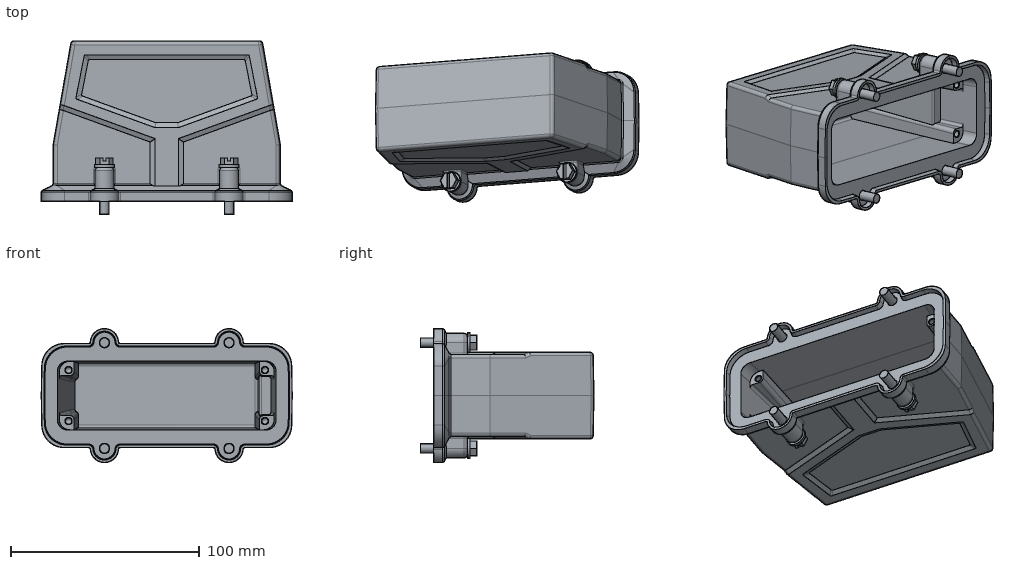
import cadquery as cq
import math

HOOD_LENGTH = 85.0
DRAFT_ANGLE = 1.0

BODY_HALF_WIDTH = 60.2
BODY_BACK_HALF_WIDTH = 50.6
BODY_TAPER_START = 30.0
BODY_HALF_HEIGHT = 23.0
BODY_START = 5.0
BODY_EDGE_RADIUS = 1.9
EDGE_MARGIN = 0.1

PANEL_DEPTH = 1.25
PANEL_SLOPE_WIDTH = 2.6
RIB_HALF_WIDTH = 6.2
RIB_ANGLE = 20.0
RIB_FORK = 33.2
LABEL_POINT = 39.0
LABEL_TOP = 77.6
LABEL_TOP_HALF_WIDTH = 43.6
LABEL_SIDE_HALF_WIDTH = 48.2
LABEL_CORNER_RADIUS = 2.0
PANEL_OVERRUN = 10.0

FLANGE_HALF_WIDTH = 66.5
FLANGE_HALF_HEIGHT = 27.6
FLANGE_CORNER_RADIUS = 12.0
FLANGE_THICKNESS = 4.8
BEVEL_TOP = 5.7
BEVEL_INSET = 0.5
FOOT_START = 8.3
FOOT_WIDTH = 0.7
SHOULDER_TOP = 9.2
RIM_WIDTH = 1.4
RIM_CORNER_RADIUS = 12.0
RIM_DEPTH = 3.0
RIM_DRAFT = 10.0

SCREW_X = 33.0
SCREW_Z = 28.0
EAR_RADIUS = 7.5
EAR_NECK_RADIUS = 1.0
EAR_CONE_TOP = 6.8
BOSS_DIAMETER = 10.0
BOSS_TOP = 18.0
BOSS_EDGE_RADIUS = 1.8
WEB_FOOT_RADIUS = 0.9
WEB_EMBED = 1.5
CLEARANCE_DIAMETER = 5.4
SHANK_DIAMETER = 5.0
SHANK_END = -6.9
WASHER_DIAMETER = 10.6
WASHER_TOP = 19.4
HEAD_ACROSS_FLATS = 8.0
HEAD_TOP = 22.9
HEAD_SLOT_WIDTH = 1.5
HEAD_SLOT_DEPTH = 1.5

CAVITY_HALF_WIDTH = 58.3
CAVITY_HALF_HEIGHT = 18.3
CAVITY_FLOOR = 82.0
CAVITY_FLOOR_HALF_WIDTH = 48.6
CAVITY_FLOOR_HALF_HEIGHT = 16.9
CAVITY_BEND = 32.0
CAVITY_BEND_HALF_HEIGHT = 17.8
CAVITY_CORNER_RADIUS = 5.5
CAVITY_FLOOR_RADIUS = 1.4

POST_START = 11.6
POST_INNER_X = 49.1
POST_INNER_Z = 10.6
POST_DRAFT = 1.9
POST_EDGE_RADIUS = 2.2
POST_ROOT_RADIUS = 1.5
POST_OVERHANG = 4.0
POST_HOLE_X = 52.0
POST_HOLE_Z = 13.5
POST_HOLE_DIAMETER = 3.3
POST_HOLE_CHAMFER = 0.3
POST_HOLE_DEPTH = 12.0
DRILL_TIP_ANGLE = 118.0
STEP_START = 26.0
STEP_INNER_X = 49.2
STEP_DRAFT = 1.0
STEP_EDGE_RADIUS = 1.0

CORNER_SIGNS = [(sx, sz) for sx in (-1, 1) for sz in (-1, 1)]


def plane_at(y):
    """Work plane facing +Y; its local axes are +X and -Z."""
    return cq.Workplane(cq.Plane(origin=(0, y, 0), xDir=(1, 0, 0), normal=(0, 1, 0)))


def cylinder(diameter, y_start, y_end, x, z):
    return plane_at(y_start).center(x, -z).circle(diameter / 2).extrude(y_end - y_start)


def crowned_outline(y, half_width, half_height, radius):
    """Rounded rectangle whose short ends are crowned by the mould draft."""
    crown = math.tan(math.radians(DRAFT_ANGLE)) * (half_height - radius)
    side = half_width - crown
    straight_x = side - radius
    straight_z = half_height - radius
    diagonal = radius * math.sqrt(0.5)
    mid_x = straight_x + diagonal
    mid_z = straight_z + diagonal
    return (
        plane_at(y)
        .moveTo(half_width, 0)
        .lineTo(side, straight_z)
        .threePointArc((mid_x, mid_z), (straight_x, half_height))
        .lineTo(-straight_x, half_height)
        .threePointArc((-mid_x, mid_z), (-side, straight_z))
        .lineTo(-half_width, 0)
        .lineTo(-side, -straight_z)
        .threePointArc((-mid_x, -mid_z), (-straight_x, -half_height))
        .lineTo(straight_x, -half_height)
        .threePointArc((mid_x, -mid_z), (side, -straight_z))
        .close()
    )


def body_half():
    """Upper half of the body block, drafted away from the parting plane."""
    block = (
        cq.Workplane("XY")
        .moveTo(-BODY_HALF_WIDTH, BODY_START)
        .lineTo(BODY_HALF_WIDTH, BODY_START)
        .lineTo(BODY_HALF_WIDTH, BODY_TAPER_START)
        .lineTo(BODY_BACK_HALF_WIDTH, HOOD_LENGTH)
        .lineTo(-BODY_BACK_HALF_WIDTH, HOOD_LENGTH)
        .lineTo(-BODY_HALF_WIDTH, BODY_TAPER_START)
        .close()
        .extrude(BODY_HALF_HEIGHT, taper=DRAFT_ANGLE)
    )
    back_corners = cq.selectors.BoxSelector(
        (-BODY_HALF_WIDTH, HOOD_LENGTH - 2, 1),
        (BODY_HALF_WIDTH, HOOD_LENGTH + 1, BODY_HALF_HEIGHT - 1),
    )
    return block.edges(back_corners).fillet(BODY_EDGE_RADIUS)


def sink(points):
    """Tapered cutter that narrows from the broad face down to the sunken floor."""
    slope_angle = math.degrees(math.atan2(PANEL_SLOPE_WIDTH, PANEL_DEPTH))
    outline = cq.Workplane("XY").workplane(offset=BODY_HALF_HEIGHT).polyline(points).close()
    return outline.extrude(-PANEL_DEPTH, taper=slope_angle)


def label_field():
    arm_rise = math.tan(math.radians(RIB_ANGLE)) * (LABEL_SIDE_HALF_WIDTH - RIB_HALF_WIDTH)
    shoulder = LABEL_POINT + arm_rise
    upper_points = [
        (LABEL_SIDE_HALF_WIDTH, shoulder),
        (LABEL_TOP_HALF_WIDTH, LABEL_TOP),
        (-LABEL_TOP_HALF_WIDTH, LABEL_TOP),
        (-LABEL_SIDE_HALF_WIDTH, shoulder),
    ]
    field = sink([(-RIB_HALF_WIDTH, LABEL_POINT), (RIB_HALF_WIDTH, LABEL_POINT)] + upper_points)
    for x, y in upper_points:
        corner = cq.selectors.NearestToPointSelector((x, y, BODY_HALF_HEIGHT - PANEL_DEPTH / 2))
        field = field.edges(corner).fillet(LABEL_CORNER_RADIUS)
    return field


def lower_panel():
    """Sunken area right of the rib stem; it runs out past the body end."""
    outer_x = BODY_HALF_WIDTH + PANEL_OVERRUN
    arm_rise = math.tan(math.radians(RIB_ANGLE)) * (outer_x - RIB_HALF_WIDTH)
    return sink([
        (RIB_HALF_WIDTH, 0),
        (outer_x, 0),
        (outer_x, RIB_FORK + arm_rise),
        (RIB_HALF_WIDTH, RIB_FORK),
    ])


def round_rim(half):
    """Round the outer edge of the broad face along both ends and the back."""
    low_z = BODY_HALF_HEIGHT - PANEL_DEPTH - EDGE_MARGIN
    high_z = BODY_HALF_HEIGHT + EDGE_MARGIN
    low_y = BODY_START + 1
    end_x = BODY_BACK_HALF_WIDTH - BODY_EDGE_RADIUS
    rim = half.edges(
        cq.selectors.BoxSelector((end_x, low_y, low_z), (FLANGE_HALF_WIDTH, HOOD_LENGTH, high_z))
        + cq.selectors.BoxSelector((-end_x, low_y, low_z), (-FLANGE_HALF_WIDTH, HOOD_LENGTH, high_z))
        + cq.selectors.BoxSelector((-end_x, CAVITY_FLOOR, low_z), (end_x, HOOD_LENGTH, high_z))
    )
    return rim.fillet(BODY_EDGE_RADIUS)


def screw_boss(x, z):
    """Cylindrical screw boss with a web that joins it to the broad face."""
    height = BOSS_TOP - RIM_DEPTH
    web_bottom = CAVITY_HALF_HEIGHT + WEB_EMBED
    web_height = abs(z) - web_bottom
    web_center = math.copysign(web_bottom + web_height / 2, z)
    web = (
        plane_at(RIM_DEPTH)
        .center(x, -web_center)
        .rect(BOSS_DIAMETER, web_height)
        .extrude(height)
    )
    boss = cylinder(BOSS_DIAMETER, RIM_DEPTH, BOSS_TOP, x, z).union(web)
    inner_side = ">Z" if z < 0 else "<Z"
    top_edges = boss.faces(">Y").edges(f"not({inner_side})")
    return top_edges.fillet(BOSS_EDGE_RADIUS)


def round_web_foot(half, x):
    """Blend one boss web into the sunken panel around it."""
    panel_z = BODY_HALF_HEIGHT - PANEL_DEPTH
    reach = BOSS_DIAMETER / 2 + EDGE_MARGIN
    around = cq.selectors.BoxSelector(
        (x - reach, BODY_START, panel_z - EDGE_MARGIN),
        (x + reach, BOSS_TOP + EDGE_MARGIN, panel_z + EDGE_MARGIN),
    )
    return half.edges(around).fillet(WEB_FOOT_RADIUS)


def make_body():
    panel = lower_panel()
    half = body_half().cut(label_field()).cut(panel).cut(panel.mirror("YZ"))
    half = round_rim(half)
    for x in (-SCREW_X, SCREW_X):
        half = round_web_foot(half.union(screw_boss(x, SCREW_Z)), x)
    return half.union(half.mirror("XY"))


def flange_plate(inset, corner_radius, ear_radius, neck_radius):
    """Flange outline with its four ears, moved inward by inset."""
    half_height = FLANGE_HALF_HEIGHT - inset
    plate = crowned_outline(
        0, FLANGE_HALF_WIDTH - inset, half_height, corner_radius
    ).extrude(FLANGE_THICKNESS)
    for sx, sz in CORNER_SIGNS:
        plate = plate.union(
            cylinder(2 * ear_radius, 0, FLANGE_THICKNESS, sx * SCREW_X, sz * SCREW_Z)
        )
    for sx, sz in CORNER_SIGNS:
        for side in (-1, 1):
            neck = (sx * SCREW_X + side * ear_radius, FLANGE_THICKNESS / 2, sz * half_height)
            plate = plate.edges(cq.selectors.NearestToPointSelector(neck)).fillet(neck_radius)
    return plate


def make_shoulder():
    """Sloped skirt from the flange edge up to the body, with a narrow bevel at either end."""
    panel_half_height = BODY_HALF_HEIGHT - PANEL_DEPTH
    sections = [
        crowned_outline(
            FLANGE_THICKNESS, FLANGE_HALF_WIDTH, FLANGE_HALF_HEIGHT, FLANGE_CORNER_RADIUS
        ),
        crowned_outline(
            BEVEL_TOP,
            FLANGE_HALF_WIDTH - BEVEL_INSET,
            FLANGE_HALF_HEIGHT - BEVEL_INSET,
            FLANGE_CORNER_RADIUS - BEVEL_INSET,
        ),
        crowned_outline(
            FOOT_START,
            BODY_HALF_WIDTH + FOOT_WIDTH,
            panel_half_height + FOOT_WIDTH,
            BODY_EDGE_RADIUS + FOOT_WIDTH,
        ),
        crowned_outline(SHOULDER_TOP, BODY_HALF_WIDTH, panel_half_height, BODY_EDGE_RADIUS),
    ]
    wires = [section.wire().val() for section in sections]
    return cq.Workplane(cq.Solid.makeLoft(wires, True))


def ear_shoulder(x, z):
    """Bevel and cone that lead from an ear up to its screw boss."""
    profile = [
        (0, FLANGE_THICKNESS),
        (EAR_RADIUS, FLANGE_THICKNESS),
        (EAR_RADIUS - BEVEL_INSET, BEVEL_TOP),
        (BOSS_DIAMETER / 2, EAR_CONE_TOP),
        (0, EAR_CONE_TOP),
    ]
    cone = cq.Workplane("XY").polyline(profile).close().revolve(360, (0, 0), (0, 1))
    return cone.translate((x, 0, z))


def make_flange():
    flange = flange_plate(0, FLANGE_CORNER_RADIUS, EAR_RADIUS, EAR_NECK_RADIUS)
    flange = flange.union(make_shoulder())
    for sx, sz in CORNER_SIGNS:
        flange = flange.union(ear_shoulder(sx * SCREW_X, sz * SCREW_Z))
    return flange


def rim_recess():
    """Shallow drafted recess that leaves a rim around the mounting face."""
    outline = flange_plate(
        RIM_WIDTH, RIM_CORNER_RADIUS, EAR_RADIUS - RIM_WIDTH, EAR_NECK_RADIUS + RIM_WIDTH
    )
    front = plane_at(0).add(outline.faces("<Y").wires()).toPending()
    return front.extrude(RIM_DEPTH, taper=RIM_DRAFT)


def tapered_block(inner_x, inner_z, start, draft):
    """Block reaching from the cavity floor to Y = start, outward of inner_x and inner_z.

    The inner limits hold at the front end; the draft widens the block toward the floor.
    """
    length = CAVITY_FLOOR + POST_OVERHANG - start
    growth = math.tan(math.radians(draft)) * length
    x_range = (inner_x - growth, CAVITY_HALF_WIDTH + POST_OVERHANG + growth)
    z_range = (inner_z - growth, CAVITY_HALF_HEIGHT + POST_OVERHANG + growth)
    return (
        plane_at(start + length)
        .center(sum(x_range) / 2, -sum(z_range) / 2)
        .rect(x_range[1] - x_range[0], z_range[1] - z_range[0])
        .extrude(-length, taper=draft)
    )


def corner_post():
    """Post in the +X, +Z corner of the cavity."""
    post = tapered_block(POST_INNER_X, POST_INNER_Z, POST_START, POST_DRAFT)
    inner_edge = cq.selectors.NearestToPointSelector((0, CAVITY_FLOOR / 2, 0))
    return post.edges(inner_edge).fillet(POST_EDGE_RADIUS)


def end_wall_step():
    """Thicker +X end wall behind the mouth, close to the inner sides of the posts."""
    full_height = CAVITY_HALF_HEIGHT + POST_OVERHANG
    step = tapered_block(STEP_INNER_X, -full_height, STEP_START, STEP_DRAFT)
    return step.faces("<Y").edges("<X").fillet(STEP_EDGE_RADIUS)


def round_post_root(cavity, sx, sz, end):
    """Blend a post into the end wall; the root edge runs from the post front to Y = end."""
    y = (POST_START + end) / 2
    wall_lean = (CAVITY_HALF_WIDTH - CAVITY_FLOOR_HALF_WIDTH) / CAVITY_FLOOR
    x = CAVITY_HALF_WIDTH - wall_lean * y
    z = POST_INNER_Z - math.tan(math.radians(POST_DRAFT)) * (y - POST_START)
    root = cq.selectors.NearestToPointSelector((sx * x, y, sz * z))
    return cavity.edges(root).fillet(POST_ROOT_RADIUS)


def make_cavity():
    plan = (
        cq.Workplane("XY")
        .moveTo(-CAVITY_HALF_WIDTH, 0)
        .lineTo(CAVITY_HALF_WIDTH, 0)
        .lineTo(CAVITY_FLOOR_HALF_WIDTH, CAVITY_FLOOR)
        .lineTo(-CAVITY_FLOOR_HALF_WIDTH, CAVITY_FLOOR)
        .close()
        .extrude(BODY_HALF_HEIGHT, both=True)
    )
    section = (
        cq.Workplane("YZ")
        .moveTo(0, -CAVITY_HALF_HEIGHT)
        .lineTo(CAVITY_BEND, -CAVITY_BEND_HALF_HEIGHT)
        .lineTo(CAVITY_FLOOR, -CAVITY_FLOOR_HALF_HEIGHT)
        .lineTo(CAVITY_FLOOR, CAVITY_FLOOR_HALF_HEIGHT)
        .lineTo(CAVITY_BEND, CAVITY_BEND_HALF_HEIGHT)
        .lineTo(0, CAVITY_HALF_HEIGHT)
        .close()
        .extrude(CAVITY_HALF_WIDTH, both=True)
    )
    cavity = plan.intersect(section)
    mouth_zone = (
        plane_at(0)
        .rect(2 * FLANGE_HALF_WIDTH, 2 * FLANGE_HALF_HEIGHT)
        .extrude(POST_START)
    )
    mouth = cavity.intersect(mouth_zone).edges("not(#Y or |X or |Z)").fillet(CAVITY_CORNER_RADIUS)
    deep = cavity.cut(mouth_zone)
    deep = deep.faces(">Y").edges("|X").fillet(CAVITY_FLOOR_RADIUS)
    post = corner_post()
    upper_posts = post.union(post.mirror("YZ"))
    deep = deep.cut(upper_posts).cut(upper_posts.mirror("XY"))
    deep = deep.cut(end_wall_step())
    deep = deep.faces(">Y").edges(">X").fillet(CAVITY_FLOOR_RADIUS)
    for sz in (-1, 1):
        deep = round_post_root(deep, 1, sz, STEP_START)
        deep = round_post_root(deep, -1, sz, CAVITY_FLOOR)
    return deep.union(mouth)


def post_hole(sx, sz):
    """Blind drilled hole in a post, with a small chamfer and a conical tip."""
    x = sx * POST_HOLE_X
    z = sz * POST_HOLE_Z
    radius = POST_HOLE_DIAMETER / 2
    axis = cq.Vector(0, 1, 0)
    tip_height = radius / math.tan(math.radians(DRILL_TIP_ANGLE / 2))
    drill_end = POST_START + POST_HOLE_DEPTH
    hole = cylinder(POST_HOLE_DIAMETER, POST_START, drill_end, x, z)
    tip = cq.Solid.makeCone(radius, 0, tip_height, cq.Vector(x, drill_end, z), axis)
    chamfer = cq.Solid.makeCone(
        radius + POST_HOLE_CHAMFER, radius, POST_HOLE_CHAMFER, cq.Vector(x, POST_START, z), axis
    )
    return hole.union(cq.Workplane(tip)).union(cq.Workplane(chamfer))


def screw(x, z):
    """Slotted hexagon screw with its washer."""
    shank = cylinder(SHANK_DIAMETER, SHANK_END, BOSS_TOP, x, z)
    washer = cylinder(WASHER_DIAMETER, BOSS_TOP, WASHER_TOP, x, z)
    corner_diameter = HEAD_ACROSS_FLATS / math.cos(math.pi / 6)
    head = (
        plane_at(WASHER_TOP)
        .center(x, -z)
        .polygon(6, corner_diameter)
        .extrude(HEAD_TOP - WASHER_TOP)
    )
    slot = (
        plane_at(HEAD_TOP - HEAD_SLOT_DEPTH)
        .center(x, -z)
        .rect(HEAD_SLOT_WIDTH, corner_diameter)
        .extrude(HEAD_SLOT_DEPTH)
    )
    return shank.union(washer).union(head.cut(slot))


result = make_body().union(make_flange()).cut(rim_recess()).cut(make_cavity())
for sx, sz in CORNER_SIGNS:
    result = result.cut(cylinder(CLEARANCE_DIAMETER, 0, BOSS_TOP, sx * SCREW_X, sz * SCREW_Z))
    result = result.cut(post_hole(sx, sz))
    result = result.union(screw(sx * SCREW_X, sz * SCREW_Z))